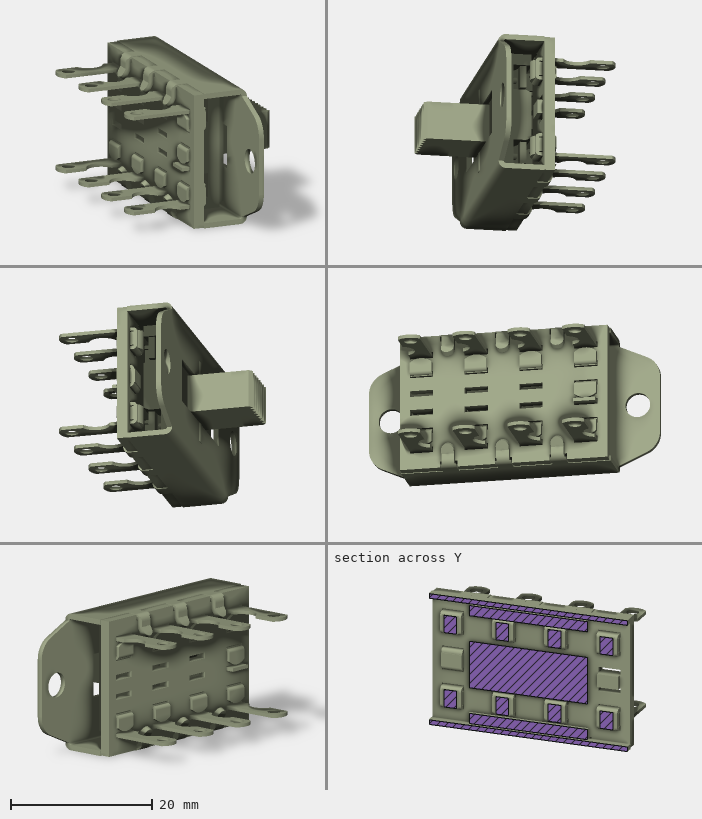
import cadquery as cq
import math


SHEET = 0.76
OVERALL_LENGTH = 42.06
BRACKET_LENGTH = 30.23
BRACKET_HEIGHT = 19.77
BEND_RADIUS = 1.0
ARM_END = 6.6
EAR_ROOT_HEIGHT = 17.7
EAR_SLOPE = math.radians(24)
EAR_CORNER_RADIUS = 3.17
MOUNT_HOLE = 3.56
MOUNT_SPACING = 35.66
WINDOW_LENGTH = 19.8
WINDOW_HEIGHT = 6.3
RIDGE_WIDTH = 1.4
RIDGE_LENGTH = 2.8
RIDGE_RISE = 0.12
RIDGE_OFFSET = 4.6

BASE_LENGTH = 30.0
BASE_HEIGHT = 19.6
BASE_THICKNESS = 1.53
BASE_REAR = ARM_END + BASE_THICKNESS
TERMINAL_PITCH = 7.92
COLUMN_COUNT = 4
COLUMNS = [(i - (COLUMN_COUNT - 1) / 2) * TERMINAL_PITCH for i in range(COLUMN_COUNT)]
ROW_OFFSET = 5.6
SLOT_SPACING = 2.8
SLOT_HEIGHT = 0.84
SLOT_LENGTH = 3.35
PAD_FRONT = 5.87
PAD_HEIGHT = SLOT_SPACING - SLOT_HEIGHT

TAB_PLACES = [-TERMINAL_PITCH, 0, TERMINAL_PITCH]
TAB_ROOT_WIDTH = 2.28
TAB_WIDTH = 1.83
TAB_STEP_Z = 9.52
TAB_KINK_Z = 8.08
TAB_TIP_LENGTH = 1.45
TAB_TIP_ANGLE = math.radians(30)
TAB_TIP_RADIUS = 0.9
NOTCH_WIDTH = 2.5
NOTCH_FLOOR_Z = 8.9

STRIP = 0.5
STRIP_WIDTH = 3.17
LEG_OFFSET = 1.38
WEB_FRONT = 5.6
WEB_CORNER_RADIUS = 0.6
HOOK_TOP = 1.5
HOOK_BEND_RADIUS = 0.49
HOOK_TIP = -0.9
HOOK_TIP_RISE = 0.6
LUG_END = 17.35
LUG_TIP_RISE = 0.66
LUG_HOLE = 1.83
LUG_HOLE_DEPTH = 15.57
LUG_NOTCH_START = 9.6
LUG_NOTCH_END = 13.5
LUG_NOTCH_DEPTH = 1.34
STUB_END = 9.28
BUMP_RISE = 0.5
BUMP_LENGTH = 2.4
BUMP_WIDTH = 2.7
CLIP_FRONT = 6.04
CLIP_HEIGHT = 3.26
CLIP_LEG_END = 7.2
CLIP_FLOOR = 6.5

KNOB_LENGTH = 8.0
KNOB_HEIGHT = 5.45
KNOB_TOP = 8.66
TEETH = 8
TOOTH_DEPTH = 0.5
SLIDER_LENGTH = 18.0
SLIDER_FRONT = 1.5
SLIDER_REAR = PAD_FRONT
SLIDER_HEIGHT = 17.85
FACE_PLATE_HEIGHT = 16.34
GROOVE_FLOOR = 3.26
GROOVE_INNER_Z = 3.71
GROOVE_OUTER_Z = 7.32
LIP_CHAMFER_DEPTH = 0.83
LIP_CHAMFER_Z = 0.36
FACE_PLATE_TAPER = 0.3
BAR_END_FRONT = 4.2
BAR_REAR = WEB_FRONT - BUMP_RISE
BAR_CENTRE_LENGTH = 11.0
BAR_SLOPE_LENGTH = 2.0
BAR_END_CHAMFER = 0.1
PIN_SPACING = 13.8
PIN_DIAMETER = 0.96


def box(length, height, front, rear, x=0, z=0):
    """Block centred at (x, z) between two depths."""
    return (
        cq.Workplane("XZ", origin=(x, -front, z)).rect(length, height).extrude(rear - front)
    )


def ring_profile(height, front, rear, wall, outer_radius, width):
    """U of constant wall, open to the rear, centred on the origin and extruded along X."""
    outer = box(width, height, front, rear).edges("|X and >Y").fillet(outer_radius)
    inner = box(width, height - 2 * wall, front + wall, rear)
    return outer.cut(inner.edges("|X and >Y").fillet(outer_radius - wall))


def make_ridge(z):
    """Low rounded ridge on the mounting face, running along Z."""
    half = RIDGE_WIDTH / 2
    return (
        cq.Workplane("XY", origin=(0, 0, z - RIDGE_LENGTH / 2))
        .moveTo(-half, -SHEET / 2)
        .lineTo(-half, 0)
        .threePointArc((0, RIDGE_RISE), (half, 0))
        .lineTo(half, -SHEET / 2)
        .close()
        .extrude(RIDGE_LENGTH)
    )


def make_bracket():
    body = ring_profile(BRACKET_HEIGHT, 0, ARM_END, SHEET, BEND_RADIUS, BRACKET_LENGTH)
    root_x = BRACKET_LENGTH / 2
    tip_x = OVERALL_LENGTH / 2
    root_z = EAR_ROOT_HEIGHT / 2
    tip_z = root_z - (tip_x - root_x) * math.tan(EAR_SLOPE)
    ears = (
        cq.Workplane("XZ")
        .polyline([
            (-tip_x, -tip_z), (-root_x, -root_z), (root_x, -root_z), (tip_x, -tip_z),
            (tip_x, tip_z), (root_x, root_z), (-root_x, root_z), (-tip_x, tip_z),
        ])
        .close()
        .extrude(SHEET)
    )
    ears = ears.edges("|Y and (<X or >X)").fillet(EAR_CORNER_RADIUS)
    holes = (
        cq.Workplane("XZ")
        .pushPoints([(-MOUNT_SPACING / 2, 0), (MOUNT_SPACING / 2, 0)])
        .circle(MOUNT_HOLE / 2)
        .extrude(SHEET)
    )
    window = box(WINDOW_LENGTH, WINDOW_HEIGHT, 0, SHEET)
    bracket = body.union(ears).cut(holes).cut(window)
    for z in (-RIDGE_OFFSET, RIDGE_OFFSET):
        bracket = bracket.union(make_ridge(z))
    return bracket


def make_tab(x):
    """Upper tab: continues the arm, bends over the rear of the base and kinks outward."""
    outer_z = BRACKET_HEIGHT / 2
    inner_z = outer_z - SHEET
    outer_y = -(BASE_REAR + SHEET)
    bend_y = outer_y + BEND_RADIUS
    bend_z = outer_z - BEND_RADIUS
    inner_radius = BEND_RADIUS - SHEET
    diagonal = math.sqrt(0.5)
    along_y = -math.sin(TAB_TIP_ANGLE)
    along_z = -math.cos(TAB_TIP_ANGLE)
    tip_y = outer_y + TAB_TIP_LENGTH * along_y
    tip_z = TAB_KINK_Z + TAB_TIP_LENGTH * along_z
    inner_kink_z = TAB_KINK_Z - SHEET * math.tan(TAB_TIP_ANGLE / 2)
    tab = (
        cq.Workplane("YZ", origin=(x - TAB_ROOT_WIDTH / 2, 0, 0))
        .moveTo(-ARM_END, inner_z)
        .lineTo(-ARM_END, outer_z)
        .lineTo(bend_y, outer_z)
        .threePointArc(
            (bend_y - BEND_RADIUS * diagonal, bend_z + BEND_RADIUS * diagonal), (outer_y, bend_z)
        )
        .lineTo(outer_y, TAB_KINK_Z)
        .lineTo(tip_y, tip_z)
        .lineTo(tip_y - SHEET * along_z, tip_z + SHEET * along_y)
        .lineTo(-BASE_REAR, inner_kink_z)
        .lineTo(-BASE_REAR, bend_z)
        .threePointArc(
            (bend_y - inner_radius * diagonal, bend_z + inner_radius * diagonal), (bend_y, inner_z)
        )
        .close()
        .extrude(TAB_ROOT_WIDTH)
    )
    side = (TAB_ROOT_WIDTH - TAB_WIDTH) / 2
    for sign in (-1, 1):
        side_x = x + sign * (TAB_WIDTH + side) / 2
        tab = tab.cut(box(side, TAB_STEP_Z, 0, LUG_END, side_x, TAB_STEP_Z / 2))
    tip_edges = cq.selectors.ParallelDirSelector(cq.Vector(0, -along_z, along_y))
    return tab.edges(tip_edges).fillet(TAB_TIP_RADIUS)


def make_base():
    """Plate with a pad between the two slots of every terminal place."""
    base = box(BASE_LENGTH, BASE_HEIGHT, ARM_END, BASE_REAR)
    for x in COLUMNS:
        for row_z in (-ROW_OFFSET, 0, ROW_OFFSET):
            base = base.union(box(STRIP_WIDTH, PAD_HEIGHT, PAD_FRONT, ARM_END, x, row_z))
            for side in (-1, 1):
                slot_z = row_z + side * SLOT_SPACING / 2
                base = base.cut(box(SLOT_LENGTH, SLOT_HEIGHT, ARM_END, BASE_REAR, x, slot_z))
    notch_height = BASE_HEIGHT / 2 - NOTCH_FLOOR_Z
    for x in TAB_PLACES:
        for side in (-1, 1):
            notch_z = side * (BASE_HEIGHT - notch_height) / 2
            base = base.cut(box(NOTCH_WIDTH, notch_height, ARM_END, BASE_REAR, x, notch_z))
    return base


def make_lug():
    """Flat solder lug with a rounded end, an eyelet and a scooped side at +X."""
    half = STRIP_WIDTH / 2
    scoop_middle = (LUG_NOTCH_START + LUG_NOTCH_END) / 2
    return (
        cq.Workplane("XY", origin=(0, 0, -LEG_OFFSET - STRIP / 2))
        .moveTo(-half, -BASE_REAR)
        .lineTo(half, -BASE_REAR)
        .lineTo(half, -LUG_NOTCH_START)
        .threePointArc((half - LUG_NOTCH_DEPTH, -scoop_middle), (half, -LUG_NOTCH_END))
        .lineTo(half, -LUG_END + LUG_TIP_RISE)
        .threePointArc((0, -LUG_END), (-half, -LUG_END + LUG_TIP_RISE))
        .close()
        .moveTo(0, -LUG_HOLE_DEPTH)
        .circle(LUG_HOLE / 2)
        .extrude(STRIP)
    )


def make_hook():
    """Strip end lying on the rear of the base, bent out of the upper slot, tip downward."""
    shoulder = HOOK_TIP + HOOK_TIP_RISE
    half = STRIP_WIDTH / 2
    hook = (
        cq.Workplane("XZ", origin=(0, -BASE_REAR, 0))
        .moveTo(-half, HOOK_TOP)
        .lineTo(half, HOOK_TOP)
        .lineTo(half, shoulder)
        .threePointArc((0, HOOK_TIP), (-half, shoulder))
        .close()
        .extrude(STRIP)
    )
    return hook.edges("|X and >Z and <Y").fillet(HOOK_BEND_RADIUS)


def make_web():
    """U inside the switch whose web carries the domed contact bump."""
    height = 2 * LEG_OFFSET + STRIP
    web = ring_profile(height, WEB_FRONT, BASE_REAR, STRIP, WEB_CORNER_RADIUS, STRIP_WIDTH)
    bump = (
        cq.Workplane("XY", origin=(0, 0, -BUMP_WIDTH / 2))
        .moveTo(-BUMP_LENGTH / 2, -WEB_FRONT)
        .threePointArc((0, -WEB_FRONT + BUMP_RISE), (BUMP_LENGTH / 2, -WEB_FRONT))
        .close()
        .extrude(BUMP_WIDTH)
    )
    return web.union(bump)


def make_terminal():
    """Lower-row terminal about its own centre; the upper row is this one turned about Y."""
    return make_web().union(make_hook()).union(make_lug())


def make_centre_terminals():
    """Last column: hook and cut-off leg. Third column: shallow dished clip ending in the slots."""
    clip_half = CLIP_HEIGHT / 2
    pad_half = PAD_HEIGHT / 2
    clip = (
        cq.Workplane("YZ", origin=(-STRIP_WIDTH / 2, 0, 0))
        .polyline([
            (-CLIP_LEG_END, -clip_half), (-ARM_END, -clip_half), (-CLIP_FRONT, -pad_half),
            (-CLIP_FRONT, pad_half), (-ARM_END, clip_half), (-CLIP_LEG_END, clip_half),
            (-CLIP_FLOOR, pad_half), (-CLIP_FLOOR, -pad_half),
        ])
        .close()
        .extrude(STRIP_WIDTH)
    )
    stub = ring_profile(
        2 * LEG_OFFSET + STRIP, CLIP_FRONT, BASE_REAR, STRIP, WEB_CORNER_RADIUS, STRIP_WIDTH
    )
    leg = box(STRIP_WIDTH, STRIP, BASE_REAR, STUB_END, 0, -LEG_OFFSET)
    stub = stub.union(make_hook()).union(leg)
    return clip.translate((COLUMNS[2], 0, 0)).union(stub.translate((COLUMNS[3], 0, 0)))


def make_knob():
    pitch = KNOB_LENGTH / TEETH
    left = -KNOB_LENGTH / 2
    valley = KNOB_TOP - TOOTH_DEPTH
    outline = [(left, -SLIDER_FRONT), (left, valley)]
    for i in range(TEETH):
        outline.append((left + (i + 0.5) * pitch, KNOB_TOP))
        outline.append((left + (i + 1) * pitch, valley))
    outline.append((-left, -SLIDER_FRONT))
    return (
        cq.Workplane("XY", origin=(0, 0, -KNOB_HEIGHT / 2))
        .polyline(outline)
        .close()
        .extrude(KNOB_HEIGHT)
    )


def make_groove():
    """Upper contact groove along the slider, with its inner lip bevelled."""
    return (
        cq.Workplane("YZ", origin=(-SLIDER_LENGTH / 2, 0, 0))
        .polyline([
            (-GROOVE_FLOOR, GROOVE_OUTER_Z),
            (-SLIDER_REAR, GROOVE_OUTER_Z),
            (-SLIDER_REAR, GROOVE_INNER_Z - LIP_CHAMFER_Z),
            (-SLIDER_REAR + LIP_CHAMFER_DEPTH, GROOVE_INNER_Z),
            (-GROOVE_FLOOR, GROOVE_INNER_Z),
        ])
        .close()
        .extrude(SLIDER_LENGTH)
    )


def make_contact_bar():
    """Bar in the groove with sloping shoulders, plus a locating pin at each slope."""
    end = SLIDER_LENGTH / 2
    flat = BAR_CENTRE_LENGTH / 2
    shoulder = flat + BAR_SLOPE_LENGTH
    bar = (
        cq.Workplane("XY", origin=(0, 0, -STRIP_WIDTH / 2))
        .polyline([
            (-end, -BAR_REAR), (-end, -BAR_END_FRONT), (-shoulder, -BAR_END_FRONT),
            (-flat, -GROOVE_FLOOR), (flat, -GROOVE_FLOOR), (shoulder, -BAR_END_FRONT),
            (end, -BAR_END_FRONT), (end, -BAR_REAR),
        ])
        .close()
        .extrude(STRIP_WIDTH)
    )
    bar = bar.edges("|Z and (<X or >X) and (not <Y)").chamfer(BAR_END_CHAMFER)
    pins = (
        cq.Workplane("XZ", origin=(0, -GROOVE_FLOOR, 0))
        .pushPoints([(-PIN_SPACING / 2, 0), (PIN_SPACING / 2, 0)])
        .circle(PIN_DIAMETER / 2)
        .extrude(BAR_REAR - GROOVE_FLOOR)
    )
    return bar.union(pins)


def make_face_plate():
    """Raised front of the slider that runs on the bracket, with tapered ends."""
    end = SLIDER_LENGTH / 2
    front_end = end - FACE_PLATE_TAPER
    return (
        cq.Workplane("XY", origin=(0, 0, -FACE_PLATE_HEIGHT / 2))
        .polyline([
            (-end, -SLIDER_FRONT), (-front_end, -SHEET), (front_end, -SHEET), (end, -SLIDER_FRONT)
        ])
        .close()
        .extrude(FACE_PLATE_HEIGHT)
    )


def make_slider():
    slider = box(SLIDER_LENGTH, SLIDER_HEIGHT, SLIDER_FRONT, SLIDER_REAR)
    slider = slider.union(make_face_plate())
    groove = make_groove()
    slider = slider.cut(groove).cut(groove.mirror("XY"))
    bar = make_contact_bar()
    for row_z in (-ROW_OFFSET, ROW_OFFSET):
        slider = slider.union(bar.translate((0, 0, row_z)))
    return slider.union(make_knob())


result = make_bracket().union(make_base())
for tab_x in TAB_PLACES:
    upper_tab = make_tab(tab_x)
    result = result.union(upper_tab).union(upper_tab.mirror("XY"))
result = result.union(make_slider())
lower_terminal = make_terminal()
upper_terminal = lower_terminal.rotate((0, 0, 0), (0, 1, 0), 180)
for column_x in COLUMNS:
    result = result.union(lower_terminal.translate((column_x, 0, -ROW_OFFSET)))
    result = result.union(upper_terminal.translate((column_x, 0, ROW_OFFSET)))
result = result.union(make_centre_terminals())